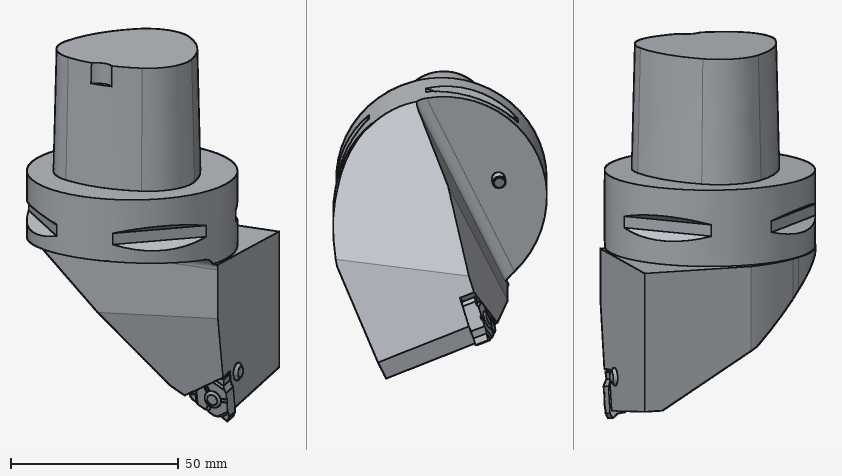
import cadquery as cq
import math


flange_diameter = 63.0
flange_radius = flange_diameter / 2
flange_height = 23.2

shank_height = 38.0
shank_taper = 1.4
lobe_count = 3
lobe_radius = 14.5
lobe_offset = 9.0
lobe_half_angle = 40.0
flat_reach = 20.4
keyway_radius = 4.9
keyway_depth = 6.4
keyway_axis_y = -22.9

slot_count = 4
slot_floor_distance = 27.9
slot_middle_z = -12.3
slot_floor_width = 3.5
slot_side_angle = 30.0

front_face_y = -6.3
relief_angle = 5.0
relief_corner_z = -21.4
relief_fillet = 3.7

neck_back_y = 33.8
neck_radius = 31.7
neck_round_start_x = -1.7
neck_round_middle = (-9.5, 31.4)
neck_round_end = (-17.2, 26.9)
neck_flank_y = 25.0
slope_top_z = -22.3
slope_foot_x = 14.3
slope_foot_z = -64.5

seat_lean = 10.0
seat_swing = 0.9
insert_center = (28.1, -1.6, -66.9)

nose_side_x = 4.1
nose_bottom = -4.7
facet_angle = 30.0
facet_start_x = -13.8
facet_start_up = 2.5

insert_inradius = 4.7
insert_thickness = 4.7
corner_count = 3
corner_angle = 60.0
first_corner_angle = -60.0
tip_reach = 8.0
shoulder_reach = 7.0
notch_reach = 6.0
notch_side = 0.9
corner_step_reach = 5.2
corner_step_width = 0.8
corner_step_depth = 0.5
mark_width = 1.0
mark_depth = 0.3

screw_diameter = 5.5
screw_top_diameter = 3.4
insert_screw_head = 0.5
side_screw_head = 1.0
side_screw_up = 5.6
side_screw_depth = 9.3
nozzle_diameter = 4.0
nozzle_tip = (2.8, -17.9, -22.7)
nozzle_lean = 15.0
nozzle_length = 8.9
nozzle_chamfer = 0.3

reach = 111.7


def polar(radius, angle):
    """Point at a radius and an angle in degrees."""
    return (radius * math.cos(math.radians(angle)), radius * math.sin(math.radians(angle)))


def seat_plane():
    """Plane of the insert's front face: local x to the right, local y up, normal to the front."""
    lean = math.radians(seat_lean)
    swing = math.radians(seat_swing)
    x_direction = (math.cos(swing), math.sin(swing), 0)
    normal = (
        math.sin(swing) * math.cos(lean),
        -math.cos(swing) * math.cos(lean),
        -math.sin(lean),
    )
    return cq.Plane(origin=insert_center, xDir=x_direction, normal=normal)


seat = seat_plane()



def shank():
    """Tapered three-lobed polygon of tangent arcs, with a keyway at the top."""
    lobe_step = 360 / lobe_count

    def seam(lobe_angle, side):
        center_x, center_y = polar(lobe_offset, lobe_angle)
        out_x, out_y = polar(lobe_radius, lobe_angle + side * lobe_half_angle)
        return (center_x + out_x, center_y + out_y)

    lobe_angles = [90 + i * lobe_step for i in range(lobe_count)]
    outline = cq.Workplane("XY").moveTo(*seam(lobe_angles[0], -1))
    for angle in lobe_angles:
        outline = outline.threePointArc(polar(lobe_offset + lobe_radius, angle), seam(angle, 1))
        flat_middle = polar(flat_reach, angle + lobe_step / 2)
        outline = outline.threePointArc(flat_middle, seam(angle + lobe_step, -1))
    body = outline.close().extrude(shank_height, taper=shank_taper)

    keyway = (
        cq.Workplane("XY", origin=(0, keyway_axis_y, shank_height - keyway_depth))
        .circle(keyway_radius)
        .extrude(2 * keyway_depth)
    )
    return body.cut(keyway)


def gripper_slots():
    """Straight flared slots at 45 degrees to the axes, cut across the flange rim."""
    depth = flange_radius - slot_floor_distance
    half_floor = slot_floor_width / 2
    half_mouth = half_floor + 2 * depth * math.tan(math.radians(slot_side_angle))
    mouth_distance = slot_floor_distance + 2 * depth
    slot = (
        cq.Workplane("XZ")
        .polyline([
            (slot_floor_distance, slot_middle_z - half_floor),
            (mouth_distance, slot_middle_z - half_mouth),
            (mouth_distance, slot_middle_z + half_mouth),
            (slot_floor_distance, slot_middle_z + half_floor),
        ])
        .close()
        .extrude(flange_radius, both=True)
    )
    slots = cq.Workplane("XY")
    for i in range(slot_count):
        slots = slots.add(slot.rotate((0, 0, 0), (0, 0, 1), (i + 0.5) * 360 / slot_count))
    return slots.combine()


def nose_prism():
    """Right side, facet and underside of the neck, all square to the seat plane."""
    fall = math.tan(math.radians(facet_angle))
    facet_end_x = facet_start_x + (facet_start_up - nose_bottom) / fall
    return (
        cq.Workplane(seat)
        .polyline([
            (nose_side_x, nose_bottom),
            (nose_side_x, reach),
            (-reach, reach),
            (-reach, facet_start_up + (facet_start_x + reach) * fall),
            (facet_end_x, nose_bottom),
        ])
        .close()
        .extrude(-reach)
    )


def neck():
    """Block below the flange: round to the left and square at the back right corner."""
    flank_x = -math.sqrt(neck_radius**2 - neck_flank_y**2)
    block = (
        cq.Workplane("XY", origin=(0, 0, -flange_height))
        .moveTo(reach, neck_back_y)
        .lineTo(neck_round_start_x, neck_back_y)
        .threePointArc(neck_round_middle, neck_round_end)
        .lineTo(flank_x, neck_flank_y)
        .threePointArc((-neck_radius, 0), (0, -neck_radius))
        .lineTo(reach, -neck_radius)
        .close()
        .extrude(-reach)
    )
    return block.intersect(nose_prism())


def front_relief():
    """Space in front of the neck, closed above by the slanted flange underside and a fillet."""
    angle = math.radians(relief_angle)
    corner_turn = math.pi / 2 - angle
    tangent_length = relief_fillet * math.tan(corner_turn / 2)
    fillet_center_y = front_face_y - relief_fillet
    fillet_center_z = relief_corner_z - tangent_length
    middle = corner_turn / 2
    fillet_middle = (
        fillet_center_y + relief_fillet * math.cos(middle),
        fillet_center_z + relief_fillet * math.sin(middle),
    )
    fillet_top = (
        front_face_y - tangent_length * math.cos(angle),
        relief_corner_z + tangent_length * math.sin(angle),
    )
    outer_y = -reach
    outer_z = relief_corner_z + (front_face_y - outer_y) * math.tan(angle)
    return (
        cq.Workplane("YZ")
        .moveTo(front_face_y, -reach)
        .lineTo(front_face_y, fillet_center_z)
        .threePointArc(fillet_middle, fillet_top)
        .lineTo(outer_y, outer_z)
        .lineTo(outer_y, -reach)
        .close()
        .extrude(reach, both=True)
    )


def left_slope():
    """Space to the lower left of the neck, cut along one slanted plane."""
    steepness = (slope_foot_z - slope_top_z) / (slope_foot_x + flange_radius)
    end_x = reach
    start_x = -reach

    def slope_z(x):
        return slope_top_z + (x + flange_radius) * steepness

    return (
        cq.Workplane("XZ")
        .polyline([(start_x, slope_z(start_x)), (end_x, slope_z(end_x)), (start_x, slope_z(end_x))])
        .close()
        .extrude(reach, both=True)
    )


def insert_pocket():
    """Recess for the insert, open at the front, the right and the bottom."""
    wall_angle = first_corner_angle + 180
    return (
        cq.Workplane(seat)
        .transformed(rotate=(0, 0, wall_angle))
        .center(insert_inradius - reach / 2, 0)
        .rect(reach, reach)
        .extrude(-insert_thickness)
    )


def screw(plane, head_height, shank_length):
    """Screw whose flared head stands on the plane, its shank going in behind the plane."""
    shaft = cq.Workplane(plane).circle(screw_diameter / 2).extrude(-shank_length)
    head = (
        cq.Workplane(plane)
        .circle(screw_diameter / 2)
        .workplane(offset=head_height)
        .circle(screw_top_diameter / 2)
        .loft()
    )
    return shaft.union(head)


def insert_screw():
    """Screw through the middle of the insert into the pocket floor."""
    return screw(seat, insert_screw_head, insert_thickness)


def side_screw():
    """Screw head on the right side of the nose, behind the insert."""
    origin = seat.toWorldCoords((nose_side_x, side_screw_up, -side_screw_depth))
    plane = cq.Plane(origin=origin, xDir=seat.yDir, normal=seat.xDir)
    return screw(plane, side_screw_head, side_screw_head)


def nozzle():
    """Coolant nozzle under the flange, leaning toward the insert."""
    lean = math.radians(nozzle_lean)
    plane = cq.Plane(origin=nozzle_tip, xDir=(0, 1, 0), normal=(-math.sin(lean), 0, math.cos(lean)))
    return (
        cq.Workplane(plane)
        .circle(nozzle_diameter / 2)
        .extrude(nozzle_length)
        .faces("<Z")
        .chamfer(nozzle_chamfer)
    )


def make_holder():
    flange = cq.Workplane("XY").circle(flange_radius).extrude(-flange_height)
    body = flange.union(neck())
    body = body.cut(front_relief()).cut(left_slope()).cut(gripper_slots())
    body = body.union(shank()).cut(insert_pocket())
    return body.union(nozzle()).union(insert_screw()).union(side_screw())



def make_insert():
    """Three-cornered threading insert with a stepped-down corner face and a mark on each side."""
    half_corner = math.tan(math.radians(corner_angle / 2))
    vertex_reach = 2 * insert_inradius
    corner = [
        (insert_inradius, -(vertex_reach - insert_inradius) * half_corner),
        (notch_reach, -notch_side),
        (tip_reach, 0),
        (shoulder_reach, (vertex_reach - shoulder_reach) * half_corner),
    ]
    corner_angles = [first_corner_angle + i * 360 / corner_count for i in range(corner_count)]
    points = []
    for angle in corner_angles:
        for along, aside in corner:
            points.append(polar(math.hypot(along, aside), angle + math.degrees(math.atan2(aside, along))))
    body = cq.Workplane(seat).polyline(points).close().extrude(-insert_thickness)

    for angle in corner_angles:
        corner_section = cq.Workplane(seat).transformed(rotate=(0, 0, angle)).transformed(rotate=(90, 0, 0))
        step = (
            corner_section.polyline([
                (corner_step_reach, 0),
                (corner_step_reach + corner_step_width, -corner_step_depth),
                (vertex_reach, -corner_step_depth),
                (vertex_reach, 0),
            ])
            .close()
            .extrude(vertex_reach, both=True)
        )
        side_frame = cq.Workplane(seat).transformed(rotate=(0, 0, angle + 180 / corner_count))
        mark = (
            side_frame.center(vertex_reach / 2, 0)
            .rect(vertex_reach, mark_width)
            .extrude(-mark_depth)
        )
        body = body.cut(step).cut(mark)
    return body.cut(insert_screw())


holder = make_holder()
insert = make_insert()

result = cq.Compound.makeCompound([holder.val(), insert.val()])